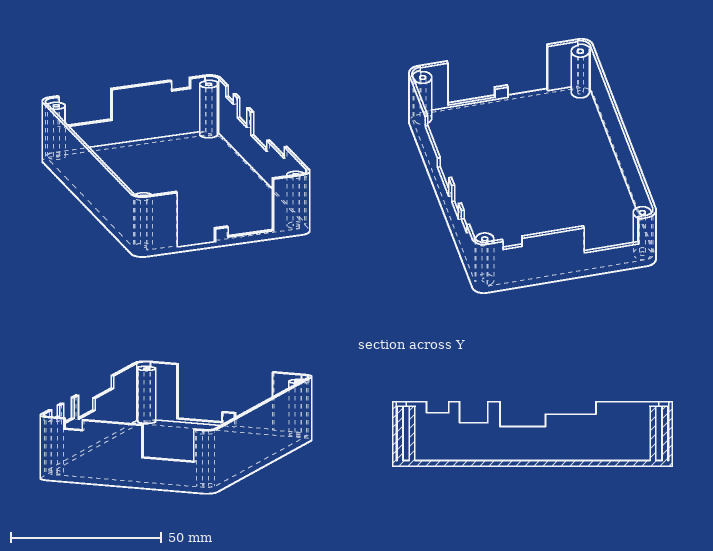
import cadquery as cq

LENGTH = 93.0
WIDTH = 63.0
HEIGHT = 21.5
CORNER_RADIUS = 4.0

END_WALL = 1.25
SIDE_WALL = 1.0
FLOOR = 2.0
CAVITY_RADIUS = 3.0

POST_DIAMETER = 6.0
POST_TOP = 20.0
POST_INSET = 4.5
POST_X = LENGTH / 2 - POST_INSET
POST_Y = WIDTH / 2 - POST_INSET
SCREW_HOLE_DIAMETER = 2.0

SEAT_RADIUS = 3.6
SEATED_CORNERS = [(-1, 1), (1, 1), (1, -1)]

LEFT_OPENINGS = [
    (-24.7, -6.0, 10.5),
    (15.2, 21.8, 18.0),
]
RIGHT_OPENINGS = [
    (-16.6, -3.1, FLOOR),
    (-3.1, 1.4, 6.5),
    (1.4, 17.5, 3.0),
]
BACK_OPENINGS = [
    (-35.2, -27.9, 17.8),
    (-24.2, -14.9, 14.5),
    (-10.8, 4.3, 13.3),
    (4.3, 21.1, 17.3),
]


def rounded_block(length, width, bottom, top, radius):
    """Upright block centred on the Z axis with rounded vertical edges."""
    block = cq.Workplane("XY").workplane(offset=bottom).rect(length, width).extrude(top - bottom)
    return block.edges("|Z").fillet(radius)


def box_between(x_start, x_end, y_start, y_end, bottom, top):
    """Axis-aligned box given by its limits."""
    box = cq.Workplane("XY").box(x_end - x_start, y_end - y_start, top - bottom, centered=False)
    return box.translate((x_start, y_start, bottom))


def make_shell():
    """Open tray: rounded outer block less the cavity above the floor."""
    outer = rounded_block(LENGTH, WIDTH, 0, HEIGHT, CORNER_RADIUS)
    cavity_length = LENGTH - 2 * END_WALL
    cavity_width = WIDTH - 2 * SIDE_WALL
    cavity = rounded_block(cavity_length, cavity_width, FLOOR, HEIGHT, CAVITY_RADIUS)
    return outer.cut(cavity)


def cut_wall_openings(body):
    """Cut the connector openings through the two ends and the back wall."""
    inner_x = LENGTH / 2 - END_WALL
    inner_y = WIDTH / 2 - SIDE_WALL
    for start, end, sill in LEFT_OPENINGS:
        body = body.cut(box_between(-LENGTH / 2, -inner_x, start, end, sill, HEIGHT))
    for start, end, sill in RIGHT_OPENINGS:
        body = body.cut(box_between(inner_x, LENGTH / 2, start, end, sill, HEIGHT))
    for start, end, sill in BACK_OPENINGS:
        body = body.cut(box_between(start, end, inner_y, WIDTH / 2, sill, HEIGHT))
    return body


def post_cylinders(diameter):
    """Cylinders at the four post positions, from the floor to the post tops."""
    return (
        cq.Workplane("XY")
        .workplane(offset=FLOOR)
        .rect(2 * POST_X, 2 * POST_Y, forConstruction=True)
        .vertices()
        .circle(diameter / 2)
        .extrude(POST_TOP - FLOOR)
    )


def quarter_round(x_sign, y_sign, bottom, top):
    """Quarter cylinder about a post axis, on the side facing the tray corner."""
    x_post = x_sign * POST_X
    y_post = y_sign * POST_Y
    return (
        cq.Workplane("XY")
        .workplane(offset=bottom)
        .moveTo(x_post, y_post)
        .lineTo(x_post + x_sign * SEAT_RADIUS, y_post)
        .radiusArc((x_post, y_post + y_sign * SEAT_RADIUS), -x_sign * y_sign * SEAT_RADIUS)
        .close()
        .extrude(top - bottom)
    )


def add_post_seats(body):
    """Fill the gap behind each seated post and hollow the wall above it."""
    for x_sign, y_sign in SEATED_CORNERS:
        body = body.union(quarter_round(x_sign, y_sign, FLOOR, POST_TOP))
        body = body.cut(quarter_round(x_sign, y_sign, POST_TOP, HEIGHT))
    return body


def add_posts(body):
    """Stand a post in each corner and bore its screw hole down to the floor."""
    return body.union(post_cylinders(POST_DIAMETER)).cut(post_cylinders(SCREW_HOLE_DIAMETER))


tray = cut_wall_openings(make_shell())
result = add_posts(add_post_seats(tray))